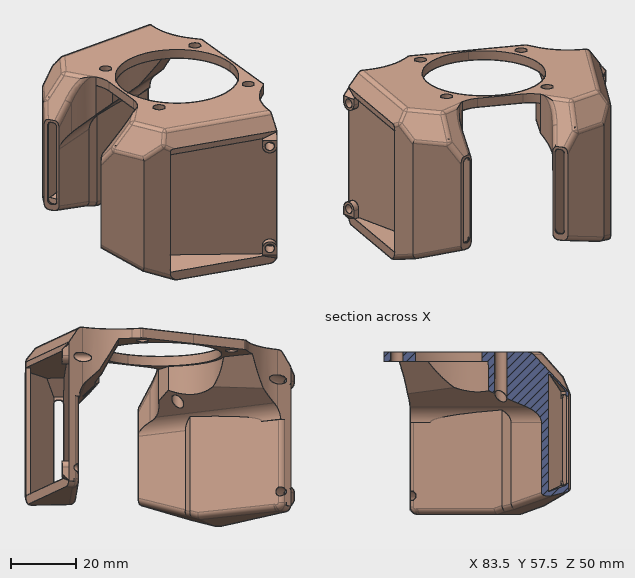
import cadquery as cq
import math

HEIGHT = 50.0
PLATE = 3.0
PLATE_UNDERSIDE = HEIGHT - PLATE
REACH = 125.2

FAN_BORE = 38.0
SCREW_PITCH = 32.0
SCREW_HOLE = 3.7

PLATE_BACK = 20.0
PLATE_FRONT = -20.0
PLATE_CORNER_X = 18.6
PLATE_CORNER_ROUND = 1.0
SWEEP_RADIUS = 20.0
DUCT_BACK = 11.9
OUTER_BACK = (39.9, DUCT_BACK)
OUTER_FRONT = (34.4, -22.95)
FACET_FRONT = (30.4, -30.05)
MOUTH_OUTER = (16.95, -37.5)
MOUTH_INNER = (12.9, -34.55)

NOTCH_START_X = 7.3
NOTCH_ROUND = 9.2
NOTCH_CORNER = (12.4, -21.6)
NOTCH_SIDE_MIDDLE = (14.4, -25.8)
NOTCH_SIDE_END = (14.2, -29.4)

OUTER_SLOPE = (3.6, 5.1)
FRONT_SLOPE = (6.1, 8.2)
MOUTH_SLOPE = (9.2, 12.2)
RAMP_RUN = 21.95
RAMP_RISE = 7.0
EDGE_ROUND = 1.9
BACK_FOOT_ROUND = 2.3

INNER_ANGLE = 29.3
INNER_WALL = 3.0
FRONT_WALL = 1.5
STEP_X = 20.6
STEP_FRONT = -19.1
FLOOR = 3.0
CEILING = 43.1
CAVITY_RAMP_RUN = 14.2
LIP = 0.7
SLOT_WIDTH = 3.0
SLOT_BOTTOM = 9.0
SLOT_TOP = 37.0
SLOT_ROUND = 1.25

GUSSET_SLOPE = 1.65
GUSSET_RUN = 12.5
GUSSET_ROUND = 16.7
NOZZLE_GUSSET_SLOPE = 0.95
NOZZLE_GUSSET_RUN = 16.7
NOZZLE_GUSSET_ROUND = 6.7
GUSSET_CLEARANCE = 20.0

BOSS_Y = 8.9
BOSS_HEIGHTS = (5.8, 40.65)
BOSS_RADIUS = 2.25
BOSS_RAISE = 2.1
BOSS_HOLE = 2.8
BOSS_SLOPE_SETBACK = 0.5


def direction(a, b):
    length = math.dist(a, b)
    return ((b[0] - a[0]) / length, (b[1] - a[1]) / length)


def moved(point, along, distance):
    return (point[0] + along[0] * distance, point[1] + along[1] * distance)


def left_of(along):
    return (-along[1], along[0])


def right_of(along):
    return (along[1], -along[0])


def upright_plane(point, across):
    """Vertical plane through a plan point: local x runs along `across`, local y is height."""
    return cq.Plane(
        origin=(point[0], point[1], 0),
        xDir=(across[0], across[1], 0),
        normal=(across[1], -across[0], 0),
    )


def plan_prism(points, bottom, top):
    return cq.Workplane("XY").workplane(offset=bottom).polyline(points).close().extrude(top - bottom)


FACET_ALONG = direction(OUTER_FRONT, FACET_FRONT)
FRONT_ALONG = direction(FACET_FRONT, MOUTH_OUTER)
MOUTH_ALONG = direction(MOUTH_OUTER, MOUTH_INNER)
FORWARD = left_of(MOUTH_ALONG)
INNER_ALONG = (-math.sin(math.radians(INNER_ANGLE)), -math.cos(math.radians(INNER_ANGLE)))
OPEN_SIDE = left_of(INNER_ALONG)


def above_slope(a, b, slope):
    """Everything above the plane that falls towards the wall a-b and meets it `drop` below the top."""
    inset, drop = slope
    outward = left_of(direction(a, b))
    profile = [
        (-REACH, HEIGHT + (REACH - inset) * drop / inset),
        (REACH, HEIGHT - drop - REACH * drop / inset),
        (REACH, HEIGHT + REACH * drop / inset),
    ]
    return cq.Workplane(upright_plane(a, outward)).polyline(profile).close().extrude(REACH, both=True)


def below_ramp(start, along, height, slope):
    """Everything below a ramp that climbs along a plan direction and has the given height at `start`."""
    profile = [
        (-REACH, height - REACH * slope),
        (REACH, height + REACH * slope),
        (REACH, -REACH),
    ]
    return cq.Workplane(upright_plane(start, along)).polyline(profile).close().extrude(REACH, both=True)


def beside_notch():
    """Space to the right of the plate notch."""
    space = cq.Workplane("XY").box(REACH, 2 * REACH, 2 * REACH, centered=(False, True, True))
    return space.translate((NOTCH_CORNER[0], 0, 0))


def envelope():
    """Right half as a full-height block with its sloping faces."""
    tangent = SWEEP_RADIUS * math.tan(math.radians(22.5))
    corner_x = PLATE_CORNER_X + PLATE_BACK - DUCT_BACK
    sweep_start = (corner_x - tangent * math.sqrt(0.5), DUCT_BACK + tangent * math.sqrt(0.5))
    sweep_end = (corner_x + tangent, DUCT_BACK)
    sweep_centre = (sweep_end[0], DUCT_BACK + SWEEP_RADIUS)
    sweep_middle = moved(
        sweep_centre,
        (-math.sin(math.radians(22.5)), -math.cos(math.radians(22.5))),
        SWEEP_RADIUS,
    )
    block = (
        cq.Workplane("XY")
        .moveTo(0, PLATE_BACK)
        .lineTo(PLATE_CORNER_X, PLATE_BACK)
        .lineTo(*sweep_start)
        .threePointArc(sweep_middle, sweep_end)
        .lineTo(*OUTER_BACK)
        .lineTo(*OUTER_FRONT)
        .lineTo(*FACET_FRONT)
        .lineTo(*MOUTH_OUTER)
        .lineTo(*MOUTH_INNER)
        .lineTo(*NOTCH_SIDE_END)
        .threePointArc(NOTCH_SIDE_MIDDLE, NOTCH_CORNER)
        .radiusArc((NOTCH_START_X, PLATE_FRONT), -NOTCH_ROUND)
        .lineTo(0, PLATE_FRONT)
        .close()
        .extrude(HEIGHT)
    )
    block = block.edges(cq.selectors.NearestToPointSelector((PLATE_CORNER_X, PLATE_BACK, HEIGHT / 2)))
    block = block.fillet(PLATE_CORNER_ROUND)
    block = block.cut(above_slope(OUTER_BACK, OUTER_FRONT, OUTER_SLOPE))
    block = block.cut(above_slope(FACET_FRONT, MOUTH_OUTER, FRONT_SLOPE))
    ramp = below_ramp(MOUTH_OUTER, FORWARD, RAMP_RISE, RAMP_RISE / RAMP_RUN)
    nozzle_cuts = above_slope(MOUTH_OUTER, MOUTH_INNER, MOUTH_SLOPE).union(ramp)
    block = block.cut(nozzle_cuts.intersect(beside_notch()))
    return block.newObject(rounded_edges(block)).fillet(EDGE_ROUND)


def lies_on(edge, point, across):
    """True when both ends of an edge are on the vertical plane through a plan point."""
    ends = [edge.startPoint(), edge.endPoint()]
    return all(abs((end.x - point[0]) * across[0] + (end.y - point[1]) * across[1]) < 0.01 for end in ends)


def rounded_edges(block):
    """Edges of the sloping faces, without those that stay sharp."""
    sloping = [face for face in block.faces("%PLANE").vals() if 0.05 < abs(face.normalAt().z) < 0.99]
    chosen = []
    for edge in cq.Workplane().newObject(sloping).edges().vals():
        at_mouth = lies_on(edge, MOUTH_OUTER, FORWARD)
        at_back = lies_on(edge, OUTER_BACK, (0, 1))
        on_side = lies_on(edge, OUTER_BACK, left_of(direction(OUTER_BACK, OUTER_FRONT)))
        at_bottom = max(edge.startPoint().z, edge.endPoint().z) < 0.01
        under_notch = edge.Center().z < HEIGHT / 2 and edge.Center().x < MOUTH_OUTER[0]
        if not (at_mouth or at_back or on_side or at_bottom or under_notch):
            chosen.append(edge)
    return chosen


def wall_face_at(y):
    """Point of the long inner wall's outside face."""
    start = moved(OUTER_BACK, OPEN_SIDE, -INNER_WALL)
    return moved(start, INNER_ALONG, (y - start[1]) / INNER_ALONG[1])


def under_plate_void():
    """Space between the ducts, below the plate."""
    step_back = wall_face_at(0)
    step_back = moved(step_back, INNER_ALONG, (STEP_X - step_back[0]) / INNER_ALONG[0])
    step_front = (STEP_X, STEP_FRONT)
    nozzle_along = direction(step_front, MOUTH_INNER)
    outline = [
        (-0.8, REACH),
        moved(step_back, INNER_ALONG, -REACH),
        step_back,
        step_front,
        moved(step_front, nozzle_along, REACH),
        (-0.8, -REACH),
    ]
    return plan_prism(outline, -0.8, PLATE_UNDERSIDE)


def low_edges(duct):
    """Straight edges near the bottom that are not upright."""
    return [
        edge
        for edge in duct.edges("%LINE").vals()
        if edge.Center().z < HEIGHT / 4 and abs(edge.tangentAt(0.5).z) < 0.9
    ]


def round_foot(duct):
    """Round the bottom edges along the inner walls and at the back."""
    step_front = (STEP_X, STEP_FRONT)
    wall_faces = [
        (wall_face_at(0), OPEN_SIDE),
        (step_front, (1, 0)),
        (step_front, left_of(direction(step_front, MOUTH_INNER))),
    ]
    back_foot = [edge for edge in low_edges(duct) if lies_on(edge, OUTER_BACK, (0, 1))]
    duct = duct.newObject(back_foot).fillet(BACK_FOOT_ROUND)
    wall_foot = [edge for edge in low_edges(duct) if any(lies_on(edge, *face) for face in wall_faces)]
    return duct.newObject(wall_foot).fillet(EDGE_ROUND)


def gusset_side(point, outward, run, fall, blend):
    """Solid under the plate that slopes down to a wall face and blends into it."""
    foot_angle = math.atan(1 / fall)
    tangent = blend * math.tan(foot_angle / 2)
    foot = PLATE_UNDERSIDE - run * fall
    slope_end = (-tangent * math.sin(foot_angle), foot + tangent * math.cos(foot_angle))
    blend_end = (0, foot - tangent)
    half = foot_angle / 2
    blend_middle = (-blend * (1 - math.cos(half)), blend_end[1] + blend * math.sin(half))
    return (
        cq.Workplane(upright_plane(point, outward))
        .moveTo(-run, PLATE_UNDERSIDE)
        .lineTo(*slope_end)
        .threePointArc(blend_middle, blend_end)
        .lineTo(REACH, blend_end[1])
        .lineTo(REACH, PLATE_UNDERSIDE)
        .close()
        .extrude(REACH, both=True)
    )


def gusset(block):
    """Web between the plate and the inner walls, clear of the fan."""
    step_front = (STEP_X, STEP_FRONT)
    nozzle_outward = left_of(direction(step_front, MOUTH_INNER))
    long_side = gusset_side(wall_face_at(0), OPEN_SIDE, GUSSET_RUN, GUSSET_SLOPE, GUSSET_ROUND)
    nozzle_side = gusset_side(
        step_front, nozzle_outward, NOZZLE_GUSSET_RUN, NOZZLE_GUSSET_SLOPE, NOZZLE_GUSSET_ROUND
    )
    clearance = cq.Workplane("XY").circle(GUSSET_CLEARANCE).extrude(PLATE_UNDERSIDE)
    web = block.intersect(beside_notch()).intersect(long_side).intersect(nozzle_side)
    return web.cut(clearance)


def boss(height):
    """Screw boss on the inner wall, rounded towards mid height and sloping onto the rim, and its hole."""
    towards_rim = 1 if height > HEIGHT / 2 else -1
    rim = CEILING if towards_rim > 0 else FLOOR
    face_point = moved(OUTER_BACK, OPEN_SIDE, BOSS_RAISE)
    face_point = moved(face_point, INNER_ALONG, (BOSS_Y - face_point[1]) / INNER_ALONG[1])
    face = cq.Workplane(
        cq.Plane(
            origin=(*face_point, height),
            xDir=(-INNER_ALONG[0], -INNER_ALONG[1], 0),
            normal=(*OPEN_SIDE, 0),
        )
    )
    rim_end = rim - height + towards_rim * (BOSS_RAISE - BOSS_SLOPE_SETBACK)
    pad = (
        face.moveTo(-BOSS_RADIUS, rim_end)
        .lineTo(-BOSS_RADIUS, 0)
        .threePointArc((0, -towards_rim * BOSS_RADIUS), (BOSS_RADIUS, 0))
        .lineTo(BOSS_RADIUS, rim_end)
        .close()
        .extrude(-BOSS_RAISE - INNER_WALL / 2)
    )
    slope_foot = rim - towards_rim * BOSS_SLOPE_SETBACK
    slope_head = slope_foot + towards_rim * BOSS_RAISE
    slope = (
        cq.Workplane(upright_plane(face_point, OPEN_SIDE))
        .polyline([(0, slope_foot), (-BOSS_RAISE, slope_head), (0, slope_head)])
        .close()
        .extrude(REACH, both=True)
    )
    behind = cq.Workplane("XY").box(REACH, REACH, REACH, centered=(True, False, True))
    hole = face.circle(BOSS_HOLE / 2).extrude(REACH / 10, both=True)
    return pad.cut(slope).cut(behind.translate((0, DUCT_BACK, 0))), hole


def behind_mouth(offset):
    """Point at the back of the lip, `offset` away from the inner side of the cavity."""
    start = moved(OUTER_BACK, OPEN_SIDE, offset)
    lip_back = moved(MOUTH_OUTER, FORWARD, -LIP)
    ahead = (lip_back[0] - start[0]) * FORWARD[0] + (lip_back[1] - start[1]) * FORWARD[1]
    return moved(start, INNER_ALONG, ahead / (INNER_ALONG[0] * FORWARD[0] + INNER_ALONG[1] * FORWARD[1]))


def cavity():
    """Duct inside: open on the outer side, narrowing to the mouth slot."""
    slot_inner = behind_mouth(0)
    slot_middle = behind_mouth(SLOT_WIDTH / 2)
    slot_outer = behind_mouth(SLOT_WIDTH)
    facet_inward = right_of(FACET_ALONG)
    front_inward = right_of(FRONT_ALONG)
    opening = moved(OUTER_FRONT, facet_inward, FRONT_WALL)
    corner_share = FRONT_WALL / (1 + facet_inward[0] * front_inward[0] + facet_inward[1] * front_inward[1])
    corner = moved(moved(FACET_FRONT, facet_inward, corner_share), front_inward, corner_share)
    inside = plan_prism(
        [
            moved(OUTER_BACK, INNER_ALONG, -SWEEP_RADIUS),
            OUTER_BACK,
            slot_inner,
            slot_outer,
            corner,
            opening,
            moved(opening, facet_inward, -SWEEP_RADIUS),
        ],
        FLOOR,
        CEILING,
    )
    ramp_slope = (SLOT_BOTTOM - FLOOR) / CAVITY_RAMP_RUN
    inside = inside.cut(below_ramp(slot_middle, INNER_ALONG, SLOT_BOTTOM, ramp_slope))
    lowering = SLOT_TOP - HEIGHT + MOUTH_SLOPE[1]
    inside = inside.cut(above_slope(MOUTH_OUTER, MOUTH_INNER, MOUTH_SLOPE).translate((0, 0, lowering)))
    slot = (
        cq.Workplane(
            cq.Plane(
                origin=(*slot_middle, (SLOT_TOP + SLOT_BOTTOM) / 2),
                xDir=(*OPEN_SIDE, 0),
                normal=(*INNER_ALONG, 0),
            )
        )
        .rect(SLOT_WIDTH, SLOT_TOP - SLOT_BOTTOM)
        .extrude(SLOT_WIDTH, both=True)
        .edges(cq.selectors.ParallelDirSelector(cq.Vector(*INNER_ALONG, 0)))
        .fillet(SLOT_ROUND)
    )
    return inside.union(slot)


block = envelope()
duct = block.cut(under_plate_void())
duct = round_foot(duct).union(gusset(block))
bore = cq.Workplane("XY").circle(FAN_BORE / 2).extrude(HEIGHT)
screws = cq.Workplane("XY").rect(SCREW_PITCH, SCREW_PITCH, forConstruction=True).vertices()
screws = screws.circle(SCREW_HOLE / 2).extrude(HEIGHT)
duct = duct.cut(bore).cut(screws).cut(cavity())
for height in BOSS_HEIGHTS:
    pad, hole = boss(height)
    duct = duct.union(pad).cut(hole)
result = duct.union(duct.mirror("YZ"))